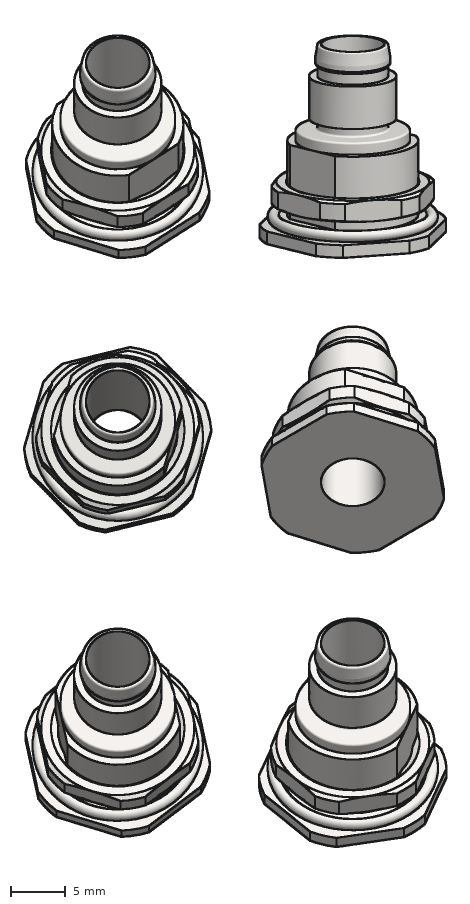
import cadquery as cq
import math

flange_top = 1.2
nut_bottom = 3.0
nut_top = 5.0
thread_top = 8.9
collar_top = 10.0
sleeve_bottom = 11.0
sleeve_top = 15.0
barb_bottom = 16.0
barb_lip_bottom = 16.25
barb_lip_top = 16.75
total_height = 18.0

bore_radius = 2.9
neck_radius = 3.25
barb_radius = 3.45
barb_tip_radius = neck_radius
sleeve_radius = 4.0
thread_radius = 6.0
thread_flat_width = 10.5
collar_radius = thread_flat_width / 2
edge_round = 0.2

flange_across_flats = 16.0
flange_corner_diameter = 17.2
nut_across_flats = 14.0
nut_corner_diameter = 15.0
half_sector = 30

nut_rim_bevel_height = 0.2
nut_bore_radius = 5.46
nut_mouth_radius = 6.1
nut_mouth_depth = 0.35

ring_section_radius = 0.52
ring_outer_radius = 7.8

shoulder_radius = ring_outer_radius - 2 * ring_section_radius
shoulder_top = 1.9


def corner_trimmed_hexagon(across_flats, corner_diameter, height):
    """Hexagonal plate with flats facing X, its corners trimmed to a circle."""
    across_corners = across_flats / math.cos(math.radians(half_sector))
    hexagon = cq.Workplane("XY").polygon(6, across_corners).extrude(height)
    hexagon = hexagon.rotate((0, 0, 0), (0, 0, 1), half_sector)
    return hexagon.intersect(cq.Workplane("XY").circle(corner_diameter / 2).extrude(height))


def cylinder(radius, bottom, top):
    """Upright cylinder on the part's axis."""
    return cq.Workplane("XY").workplane(offset=bottom).circle(radius).extrude(top - bottom)


def revolve_profile(points):
    """Solid of revolution about Z from a closed outline of (radius, height) points."""
    return cq.Workplane("XZ").polyline(points).close().revolve(360, (0, 0, 0), (0, 1, 0))


def make_threaded_barrel():
    """Cylinder with two flats, standing on the flange."""
    barrel = cylinder(thread_radius, flange_top, thread_top)
    flats = cq.Workplane("XY").box(thread_flat_width, 2 * thread_radius, 2 * thread_top)
    return barrel.intersect(flats)


def make_collar():
    """Short round step above the threaded barrel, with a rounded rim."""
    return cylinder(collar_radius, thread_top, collar_top).faces(">Z").edges().fillet(edge_round)


def make_neck_and_barb():
    """Tube end: filleted neck, wide sleeve and a tapered barb with a rounded tip."""
    arc_inset = edge_round * (1 - math.sqrt(0.5))
    profile = (
        cq.Workplane("XZ")
        .moveTo(0, thread_top)
        .lineTo(neck_radius + edge_round, thread_top)
        .lineTo(neck_radius + edge_round, collar_top)
        .threePointArc(
            (neck_radius + arc_inset, collar_top + arc_inset),
            (neck_radius, collar_top + edge_round),
        )
        .lineTo(neck_radius, sleeve_bottom - edge_round)
        .threePointArc(
            (neck_radius + arc_inset, sleeve_bottom - arc_inset),
            (neck_radius + edge_round, sleeve_bottom),
        )
        .lineTo(sleeve_radius, sleeve_bottom)
        .lineTo(sleeve_radius, sleeve_top)
        .lineTo(neck_radius, sleeve_top)
        .lineTo(neck_radius, barb_bottom)
        .lineTo(barb_radius, barb_lip_bottom)
        .lineTo(barb_radius, barb_lip_top)
        .lineTo(barb_tip_radius, total_height)
        .lineTo(0, total_height)
        .close()
    )
    tube = profile.revolve(360, (0, 0, 0), (0, 1, 0))
    return tube.faces(">Z").edges().fillet(edge_round)


def make_housing():
    """Flange, O-ring shoulder, threaded barrel, collar and barbed tube in one piece, bored right through."""
    flange = corner_trimmed_hexagon(flange_across_flats, flange_corner_diameter, flange_top)
    shoulder = cylinder(shoulder_radius, flange_top, shoulder_top)
    solid = flange.union(shoulder).union(make_threaded_barrel())
    solid = solid.union(make_collar()).union(make_neck_and_barb())
    return solid.cut(cylinder(bore_radius, 0, total_height))


def make_nut(housing):
    """Hexagon nut with bevelled corners, fitted around the flatted barrel."""
    height = nut_top - nut_bottom
    rim_radius = nut_across_flats / 2
    corner_radius = nut_corner_diameter / 2
    envelope = revolve_profile([
        (0, 0),
        (rim_radius, 0),
        (corner_radius, nut_rim_bevel_height),
        (corner_radius, height - nut_rim_bevel_height),
        (rim_radius, height),
        (0, height),
    ])
    opening = revolve_profile([
        (0, 0),
        (nut_mouth_radius, 0),
        (nut_bore_radius, nut_mouth_depth),
        (nut_bore_radius, height - nut_mouth_depth),
        (nut_mouth_radius, height),
        (0, height),
    ])
    blank = corner_trimmed_hexagon(nut_across_flats, nut_corner_diameter, height)
    nut = blank.intersect(envelope).cut(opening).translate((0, 0, nut_bottom))
    return nut.cut(housing)


def make_o_ring():
    """Round-section ring resting on the flange around the shoulder."""
    centre_radius = ring_outer_radius - ring_section_radius
    section = cq.Workplane("XZ").center(centre_radius, flange_top + ring_section_radius)
    section = section.circle(ring_section_radius)
    return section.revolve(360, (-centre_radius, 0, 0), (-centre_radius, 1, 0))


housing = make_housing()
nut = make_nut(housing)
o_ring = make_o_ring()

result = cq.Compound.makeCompound([housing.val(), nut.val(), o_ring.val()])